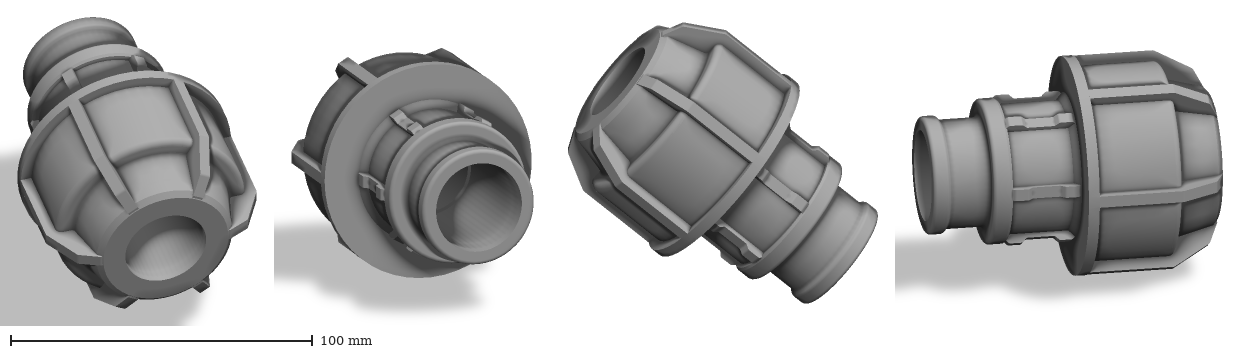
import cadquery as cq
import math

length = 97.0
bead_back = 4.85
collar_front = 19.4
collar_back = 25.8
sleeve_cone_start = 46.6
flange_front = 48.9
flange_back = 52.6
cap_shoulder = 81.3
nose_end = 95.35

bead_diameter = 39.4
spigot_diameter = 36.4
collar_diameter = 48.5
sleeve_diameter = 44.0
flange_diameter = 73.0
cap_diameter = 65.8
nose_base_diameter = 54.3
nose_tip_diameter = 47.0
end_face_diameter = 43.3
sleeve_cone_diameter = 49.1
mouth_diameter = 30.3
bore_diameter = 28.0

spigot_round = 1.3
cap_round = 2.1
shoulder_round = 1.2
rib_bend_round = 1.5
guide_bend_round = 1.0

collar_chamfer_length = 0.9
collar_chamfer_depth = 0.6

rib_count = 6
rib_width = 3.9
rib_bend_x = 81.0
rib_knee_x = 93.6
rib_knee_radius = 29.5
rib_tip_x = 96.8
rib_tip_radius = 22.6
cap_rib_root = 19.4

guide_high = 25.0
guide_low = 23.5
guide_end_rise = 1.4
dip_depth = guide_high - guide_low
guide_root = 18.4
guide_front_top = 26.5
guide_dip_start = 30.9
guide_dip_end = 43.5
guide_back_top = 47.8


def rounded_outline(corners):
    """Closed outline in the XY plane from (x, radius, corner rounding) corners."""
    rounds = []
    for i, (x, r, rounding) in enumerate(corners):
        corner = cq.Vector(x, r)
        if rounding == 0:
            rounds.append((corner, None, corner))
            continue
        before = cq.Vector(*corners[i - 1][:2])
        after = cq.Vector(*corners[(i + 1) % len(corners)][:2])
        to_before = (before - corner).normalized()
        to_after = (after - corner).normalized()
        half_angle = to_before.getAngle(to_after) / 2
        setback = rounding / math.tan(half_angle)
        middle_gap = rounding / math.sin(half_angle) - rounding
        middle = corner + (to_before + to_after).normalized() * middle_gap
        rounds.append((corner + to_before * setback, middle, corner + to_after * setback))

    outline = cq.Workplane("XY").moveTo(rounds[0][2].x, rounds[0][2].y)
    for start, middle, end in rounds[1:] + rounds[:1]:
        outline = outline.lineTo(start.x, start.y)
        if middle is not None:
            outline = outline.threePointArc(middle.toTuple()[:2], end.toTuple()[:2])
    return outline.wire()


def turned_body():
    """Spigot, collar, sleeve, flange and cap as one solid of revolution about X."""
    bead = bead_diameter / 2
    spigot = spigot_diameter / 2
    collar = collar_diameter / 2
    sleeve = sleeve_diameter / 2
    flange = flange_diameter / 2
    cap = cap_diameter / 2
    corners = [
        (0, 0, 0),
        (0, bead, spigot_round),
        (bead_back, bead, spigot_round),
        (bead_back + bead - spigot, spigot, spigot_round),
        (collar_front, spigot, spigot_round),
        (collar_front, collar, spigot_round),
        (collar_back - collar_chamfer_length, collar, 0),
        (collar_back, collar - collar_chamfer_depth, 0),
        (collar_back, sleeve, 0),
        (sleeve_cone_start, sleeve, 0),
        (flange_front, sleeve_cone_diameter / 2, 0),
        (flange_front, flange, 0),
        (flange_back, flange, 0),
        (flange_back, cap, 0),
        (cap_shoulder, cap, cap_round),
        (cap_shoulder, nose_base_diameter / 2, shoulder_round),
        (nose_end, nose_tip_diameter / 2, 0),
        (length, end_face_diameter / 2, 0),
        (length, 0, 0),
    ]
    return rounded_outline(corners).revolve(360, (0, 0, 0), (1, 0, 0))


def cap_rib():
    """Outer grip rib that follows the cap and bends down over the nose."""
    top = flange_diameter / 2
    corners = [
        (flange_back, cap_rib_root, 0),
        (flange_back, top, 0),
        (rib_bend_x, top, rib_bend_round),
        (rib_knee_x, rib_knee_radius, rib_bend_round),
        (rib_tip_x, rib_tip_radius, 0),
        (rib_tip_x, cap_rib_root, 0),
    ]
    return rounded_outline(corners).extrude(rib_width / 2, both=True)


def guide_rib():
    """Rib on the sleeve with a dip in the middle, all slopes at 45 degrees."""
    collar_middle = (collar_front + collar_back) / 2
    end_radius = guide_high - guide_end_rise
    corners = [
        (collar_middle, guide_root, 0),
        (collar_middle, end_radius, 0),
        (guide_front_top - guide_end_rise, end_radius, 0),
        (guide_front_top, guide_high, guide_bend_round),
        (guide_dip_start, guide_high, guide_bend_round),
        (guide_dip_start + dip_depth, guide_low, guide_bend_round),
        (guide_dip_end - dip_depth, guide_low, guide_bend_round),
        (guide_dip_end, guide_high, guide_bend_round),
        (guide_back_top, guide_high, guide_bend_round),
        (guide_back_top + guide_end_rise, end_radius, 0),
        (flange_back, end_radius, 0),
        (flange_back, guide_root, 0),
    ]
    return rounded_outline(corners).extrude(rib_width / 2, both=True)


def bore(diameter, depth):
    """Round cutter running from the spigot end along X."""
    return cq.Workplane("YZ").circle(diameter / 2).extrude(depth)


body = turned_body()
cap_rib_shape = cap_rib()
guide_rib_shape = guide_rib()
for index in range(rib_count):
    angle = index * 360 / rib_count
    for rib in (cap_rib_shape, guide_rib_shape):
        body = body.union(rib.rotate((0, 0, 0), (1, 0, 0), angle))

result = body.cut(bore(bore_diameter, length)).cut(bore(mouth_diameter, flange_front))